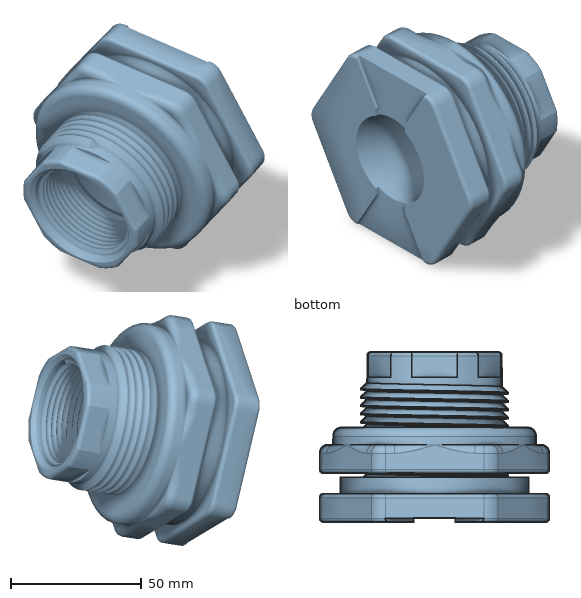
import cadquery as cq
import math


SIDES = 6
HEX_FLATS = 77.98
HEX_CORNER_RADIUS = 6.35
HEX_THICKNESS = 10.92
HEX_EDGE_FILLET = 1.52

SHANK_DIAMETER = 51.82
SHANK_LENGTH = 54.36
SHANK_FLATS = 48.77
SHANK_FLATS_LENGTH = 9.65
SHANK_END_FILLET = 1.52

CHANNEL_WIDTH = 16.0
CHANNEL_DEPTH = 1.52
CHANNEL_WALL_ANGLE = 60.0

OUTER_CREST_DIAMETER = 56.52
OUTER_PITCH = 3.175
OUTER_TURNS = 12
OUTER_STEEP_RUN = 0.2
OUTER_CREST_WIDTH = 0.45
OUTER_SLOPED_RUN = 2.25
OUTER_END_GAP = 13.95
OUTER_RUNOUT = 2.6

BORE_DIAMETER = 37.08
SOCKET_MOUTH_DIAMETER = 45.0
SOCKET_DIAMETER = 41.9
SOCKET_DEPTH = 25.4
TAPER_SLOPE = 1 / 32
INNER_PITCH = 25.4 / 11.5
INNER_TURNS = 9
INNER_RIDGE_HEIGHT = 1.6
INNER_FLANK_RUN = 0.9
INNER_CREST_WIDTH = 0.2
INNER_END_GAP = 4.0
INNER_RUNOUT = 2.2

RIDGE_SINK = 0.2

GASKET_DIAMETER = 72.39
GASKET_BORE = 57.15
GASKET_THICKNESS = 6.35

NUT_GAP = 1.48
NUT_GROOVE_DIAMETER = 57.53
NUT_FLANGE_THICKNESS = 6.65
NUT_FLANGE_FILLET = 3.35
NUT_CORNER_FILLET = 3.175
BLEND_DEPTH = 5.0
BLEND_STEPS = 5

apothem = HEX_FLATS / 2
shank_radius = SHANK_DIAMETER / 2
socket_radius = SOCKET_DIAMETER / 2
half_angle = math.pi / SIDES


def hexagon(bottom, flats, height):
    """Sharp hexagonal prism standing on the plane z = bottom."""
    plane = cq.Workplane("XY").workplane(offset=bottom)
    return plane.polygon(SIDES, flats / math.cos(half_angle)).extrude(height)


def cylinder(bottom, diameter, height):
    return cq.Workplane("XY").workplane(offset=bottom).circle(diameter / 2).extrude(height)


def ridge_profile(root, crest, low_run, crest_width, high_run):
    """Thread tooth as (radius, height) points; its flanks run on a little way into the wall."""
    sink = RIDGE_SINK / abs(crest - root)
    sunk_root = root + (root - crest) * sink
    return [
        (sunk_root, -low_run * sink),
        (crest, low_run),
        (crest, low_run + crest_width),
        (sunk_root, low_run + crest_width + high_run * (1 + sink)),
    ]


def thread_ridge(root, profile, pitch, turns, slope, left_hand, runout):
    """Helical ridge rising from z = 0, whose upper end fades into the wall at local +Y.

    `root` is the wall radius at z = 0 and `slope` is how fast that radius grows along z.
    """
    rise = pitch * turns
    end_root = root + slope * rise
    end_turn = math.degrees(math.asin(runout / end_root))
    end_angle = 90 + end_turn if left_hand else 90 - end_turn

    cone_angle = math.degrees(math.atan(slope)) if slope else 360
    path = cq.Wire.makeHelix(pitch, rise, root, angle=cone_angle, lefthand=left_hand)
    section = cq.Workplane("XZ").polyline(profile).close()
    coil = section.sweep(cq.Workplane(path), isFrenet=True).rotate((0, 0, 0), (0, 0, 1), end_angle)

    def end_section(angle, radial_shift):
        turned = math.radians(angle)
        points = []
        for radius, height in profile:
            radius += slope * rise + radial_shift
            points.append((radius * math.cos(turned), radius * math.sin(turned), height + rise))
        return cq.Wire.makePolygon(points, close=True)

    buried = root - profile[1][0]
    tip = cq.Solid.makeLoft([end_section(end_angle, 0), end_section(90, buried)], True)
    return coil.union(cq.Workplane(tip))


def head():
    """Hexagonal head behind the seat face, with the relief channel in its back."""
    back = -HEX_THICKNESS
    block = hexagon(back, HEX_FLATS, HEX_THICKNESS).edges("|Z").fillet(HEX_CORNER_RADIUS)
    block = block.faces("<Z or >Z").edges().fillet(HEX_EDGE_FILLET)

    half_width = CHANNEL_WIDTH / 2
    mouth = (apothem - HEX_CORNER_RADIUS) * math.tan(half_angle)
    flare_start = apothem - (mouth - half_width) * math.tan(math.radians(CHANNEL_WALL_ANGLE))
    quarter = [(mouth, apothem), (half_width, flare_start)]
    right_side = quarter + [(x, -y) for x, y in reversed(quarter)]
    left_side = [(-x, -y) for x, y in right_side]
    channel = cq.Workplane("XY").workplane(offset=back).polyline(right_side + left_side).close()
    return block.cut(channel.extrude(CHANNEL_DEPTH))


def shank():
    """Plain shank whose end has six flats and a rounded rim."""
    round_length = SHANK_LENGTH - SHANK_FLATS_LENGTH
    end = cylinder(round_length, SHANK_DIAMETER, SHANK_FLATS_LENGTH)
    end = end.intersect(hexagon(round_length, SHANK_FLATS, SHANK_FLATS_LENGTH))
    end = end.faces(">Z").edges().fillet(SHANK_END_FILLET)
    return cylinder(0, SHANK_DIAMETER, round_length).union(end)


def bore():
    """Through bore that opens into a tapered socket with a chamfered mouth."""
    chamfer = (SOCKET_MOUTH_DIAMETER - SOCKET_DIAMETER) / 2
    chamfer_start = SHANK_LENGTH - chamfer
    socket_bottom = SHANK_LENGTH - SOCKET_DEPTH
    outline = [
        (0, -HEX_THICKNESS),
        (BORE_DIAMETER / 2, -HEX_THICKNESS),
        (BORE_DIAMETER / 2, socket_bottom),
        (socket_radius - TAPER_SLOPE * (chamfer_start - socket_bottom), socket_bottom),
        (socket_radius, chamfer_start),
        (SOCKET_MOUTH_DIAMETER / 2, SHANK_LENGTH),
        (0, SHANK_LENGTH),
    ]
    return cq.Workplane("XZ").polyline(outline).close().revolve(360, (0, 0), (0, 1))


def outer_thread(clearance=0):
    """Ridge of the outer thread, moved out by a radial clearance to cut the nut's groove."""
    root = shank_radius + clearance
    crest = OUTER_CREST_DIAMETER / 2 + clearance
    profile = ridge_profile(root, crest, OUTER_STEEP_RUN, OUTER_CREST_WIDTH, OUTER_SLOPED_RUN)
    ridge = thread_ridge(root, profile, OUTER_PITCH, OUTER_TURNS, 0, True, OUTER_RUNOUT)
    return ridge.translate((0, 0, SHANK_LENGTH - OUTER_END_GAP - OUTER_PITCH * OUTER_TURNS))


def inner_thread():
    start = SHANK_LENGTH - INNER_END_GAP - INNER_PITCH * INNER_TURNS
    chamfer = (SOCKET_MOUTH_DIAMETER - SOCKET_DIAMETER) / 2
    root = socket_radius - TAPER_SLOPE * (SHANK_LENGTH - chamfer - start)
    crest = root - INNER_RIDGE_HEIGHT
    profile = ridge_profile(root, crest, INNER_FLANK_RUN, INNER_CREST_WIDTH, INNER_FLANK_RUN)
    ridge = thread_ridge(root, profile, INNER_PITCH, INNER_TURNS, TAPER_SLOPE, False, INNER_RUNOUT)
    return ridge.translate((0, 0, start))


def make_body():
    threaded_bore = bore().cut(inner_thread())
    return head().union(shank()).union(outer_thread()).cut(threaded_bore)


def make_gasket():
    ring = cylinder(0, GASKET_DIAMETER, GASKET_THICKNESS)
    return ring.cut(cylinder(0, GASKET_BORE, GASKET_THICKNESS))


def flat_blend(top, direction):
    """Half of the rounding that rises from a hexagon corner to the flange at mid-flat.

    It lies on the flat facing +Y. Each section holds an arc of the corner fillet, tangent
    to the flat and raised so that it meets the flange rim in the plane z = top.
    """
    radius = NUT_CORNER_FILLET
    reach = math.sqrt(apothem**2 - (apothem - radius) ** 2)
    floor = top - BLEND_DEPTH
    sections = []
    for step in range(BLEND_STEPS + 1):
        along = reach * step / BLEND_STEPS
        inset = apothem - math.sqrt(apothem**2 - along**2)
        start = top - math.sqrt(max(0, 2 * radius * inset - inset**2))
        diagonal = radius * math.sqrt(0.5)
        section = (
            cq.Workplane(cq.Plane((direction * along, 0, 0), (0, 1, 0), (1, 0, 0)))
            .moveTo(apothem, start)
            .threePointArc(
                (apothem - radius + diagonal, start + diagonal),
                (apothem - radius, start + radius),
            )
            .lineTo(apothem - radius, floor)
            .lineTo(apothem, floor)
            .close()
        )
        sections.append(section.wire().val())
    return cq.Workplane(cq.Solid.makeLoft(sections))


def make_nut():
    back = GASKET_THICKNESS + NUT_GAP
    top = back + HEX_THICKNESS
    nut = hexagon(back, HEX_FLATS, HEX_THICKNESS).edges("|Z").fillet(HEX_CORNER_RADIUS)
    nut = nut.faces("<Z").edges().fillet(HEX_EDGE_FILLET)
    nut = nut.faces(">Z").edges().fillet(NUT_CORNER_FILLET)

    flange_start = top - BLEND_DEPTH
    flange = cylinder(flange_start, HEX_FLATS, BLEND_DEPTH + NUT_FLANGE_THICKNESS)
    nut = nut.union(flange.faces(">Z").edges().fillet(NUT_FLANGE_FILLET))
    blends = []
    for direction in (1, -1):
        blend = flat_blend(top, direction)
        for side in range(SIDES):
            blends.append(blend.rotate((0, 0, 0), (0, 0, 1), side * 360 / SIDES).val())
    nut = cq.Workplane(nut.val().fuse(*blends))

    clearance = (NUT_GROOVE_DIAMETER - OUTER_CREST_DIAMETER) / 2
    bore_diameter = SHANK_DIAMETER + 2 * clearance
    threaded_void = cylinder(0, bore_diameter, SHANK_LENGTH).union(outer_thread(clearance))
    return nut.cut(threaded_void)


def lay_down(body):
    """Turn the local +Z axis to -Y."""
    return body.rotate((0, 0, 0), (1, 0, 0), 90)


body = lay_down(make_body())
gasket = lay_down(make_gasket())
nut = lay_down(make_nut())

result = cq.Compound.makeCompound([*body.solids().vals(), *gasket.solids().vals(), *nut.solids().vals()])